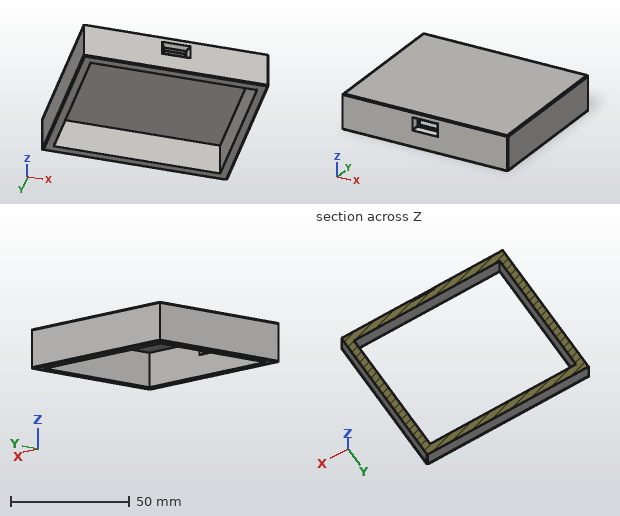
import cadquery as cq

length = 81.0
width = 68.0
height = 16.9
wall = 4.05
roof = 2.0
edge_chamfer = 0.5

window_length = 9.9
window_height = 3.6
window_center_below_top = 5.75
flare = 1.3
flare_depth = 2.0


def make_shell():
    body = cq.Workplane("XY").box(length, width, height, centered=(True, True, False))
    body = body.edges("|Z and >X").chamfer(edge_chamfer)
    body = body.faces("<Z or >Z").edges().chamfer(edge_chamfer)
    cavity = cq.Workplane("XY").box(
        length - 2 * wall, width - 2 * wall, height - roof, centered=(True, True, False)
    )
    return body.cut(cavity)


def make_window():
    center_z = height - window_center_below_top
    outer_face = cq.Workplane("XZ", origin=(0, -width / 2, center_z))
    opening = outer_face.rect(window_length, window_height).extrude(-wall)
    funnel = (
        outer_face.rect(window_length + 2 * flare, window_height + 2 * flare)
        .workplane(offset=-flare_depth)
        .rect(window_length, window_height)
        .loft(ruled=True)
    )
    return opening.union(funnel)


result = make_shell().cut(make_window())